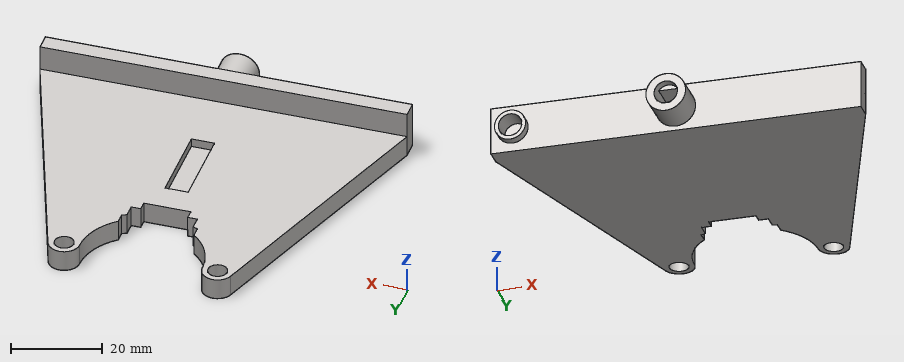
import cadquery as cq
import math


BAR_WIDTH = 84.0
BAR_DEPTH = 3.95
BAR_HEIGHT = 11.0

PLATE_THICKNESS = 5.0
PLATE_REACH = 67.5
EYE_RADIUS = 3.5
EYE_HOLE_DIAMETER = 4.4
EYE_X = 17.55
EYE_Y = PLATE_REACH - EYE_RADIUS

MOUTH_RADIUS = EYE_X - EYE_RADIUS
THROAT_HALF_WIDTH = 8.65
SHOULDER_OUTER_Y = 50.5
SHOULDER_INNER_Y = 50.1
STEP_HALF_WIDTH = 7.6
STEP_Y = 47.0
FLOOR_HALF_WIDTH = 5.4
FLOOR_Y = 44.85

POCKET_WIDTH = 5.3
POCKET_LENGTH = 19.15
POCKET_DEPTH = 2.0
POCKET_CENTER_Y = 28.5

BOSS_Z = BAR_HEIGHT / 2
BORE_DIAMETER = 5.3
CENTER_BOSS_DIAMETER = 9.0
CENTER_BOSS_LENGTH = 8.0
CENTER_BORE_DEPTH = 2.0
KEYWAY_HEIGHT = 3.0
SIDE_BOSS_DIAMETER = 7.05
SIDE_BOSS_LENGTH = 2.0
SIDE_BOSS_INSET = 4.95
SIDE_BOSS_X = -BAR_WIDTH / 2 + SIDE_BOSS_INSET
SIDE_BORE_DEPTH = 5.0


def rod_along_y(diameter, x, start_y, length):
    """Cylinder at boss height that runs from start_y toward +Y."""
    axis_start = cq.Vector(x, start_y, BOSS_Z)
    return cq.Workplane(cq.Solid.makeCylinder(diameter / 2, length, axis_start, cq.Vector(0, 1, 0)))


def make_bar():
    return cq.Workplane("XY").box(BAR_WIDTH, BAR_DEPTH, BAR_HEIGHT, centered=(True, False, False))


def make_plate():
    run = BAR_WIDTH / 2 - EYE_X
    rise = EYE_Y - BAR_DEPTH
    corner_angle = math.atan2(-rise, run)
    normal_angle = corner_angle + math.acos(EYE_RADIUS / math.hypot(run, rise))
    tangent_x = EYE_X + EYE_RADIUS * math.cos(normal_angle)
    tangent_y = EYE_Y + EYE_RADIUS * math.sin(normal_angle)

    throat_top_y = EYE_Y - math.sqrt(MOUTH_RADIUS**2 - THROAT_HALF_WIDTH**2)
    throat_angle = math.atan2(EYE_Y - throat_top_y, THROAT_HALF_WIDTH)
    mouth_mid_x = MOUTH_RADIUS * math.cos(throat_angle / 2)
    mouth_mid_y = EYE_Y - MOUTH_RADIUS * math.sin(throat_angle / 2)

    eye_mid_angle = (normal_angle + math.pi) / 2
    eye_mid_x = EYE_X + EYE_RADIUS * math.cos(eye_mid_angle)
    eye_mid_y = EYE_Y + EYE_RADIUS * math.sin(eye_mid_angle)

    right_half = (
        cq.Workplane("XY")
        .moveTo(0, BAR_DEPTH)
        .lineTo(BAR_WIDTH / 2, BAR_DEPTH)
        .lineTo(tangent_x, tangent_y)
        .threePointArc((eye_mid_x, eye_mid_y), (MOUTH_RADIUS, EYE_Y))
        .threePointArc((mouth_mid_x, mouth_mid_y), (THROAT_HALF_WIDTH, throat_top_y))
        .lineTo(THROAT_HALF_WIDTH, SHOULDER_OUTER_Y)
        .lineTo(STEP_HALF_WIDTH, SHOULDER_INNER_Y)
        .lineTo(STEP_HALF_WIDTH, STEP_Y)
        .lineTo(FLOOR_HALF_WIDTH, STEP_Y)
        .lineTo(FLOOR_HALF_WIDTH, FLOOR_Y)
        .lineTo(0, FLOOR_Y)
        .close()
        .extrude(PLATE_THICKNESS)
    )
    plate = right_half.union(right_half.mirror("YZ"))
    eye_holes = (
        cq.Workplane("XY")
        .pushPoints([(-EYE_X, EYE_Y), (EYE_X, EYE_Y)])
        .circle(EYE_HOLE_DIAMETER / 2)
        .extrude(PLATE_THICKNESS)
    )
    pocket = (
        cq.Workplane("XY", origin=(0, POCKET_CENTER_Y, PLATE_THICKNESS - POCKET_DEPTH))
        .rect(POCKET_WIDTH, POCKET_LENGTH)
        .extrude(POCKET_DEPTH)
    )
    return plate.cut(eye_holes).cut(pocket)


def add_center_boss(body):
    """Boss with a short round bore, narrowed by two flats down to the bar face."""
    boss = rod_along_y(CENTER_BOSS_DIAMETER, 0, -CENTER_BOSS_LENGTH, CENTER_BOSS_LENGTH)
    bore = rod_along_y(BORE_DIAMETER, 0, -CENTER_BOSS_LENGTH, CENTER_BORE_DEPTH)
    flats = cq.Workplane("XY", origin=(0, 0, BOSS_Z)).box(
        BORE_DIAMETER, 2 * CENTER_BOSS_LENGTH, KEYWAY_HEIGHT
    )
    keyway = rod_along_y(BORE_DIAMETER, 0, -CENTER_BOSS_LENGTH, CENTER_BOSS_LENGTH).intersect(flats)
    return body.union(boss).cut(bore).cut(keyway)


def add_side_boss(body):
    """Short boss with a blind bore that ends inside the bar."""
    boss = rod_along_y(SIDE_BOSS_DIAMETER, SIDE_BOSS_X, -SIDE_BOSS_LENGTH, SIDE_BOSS_LENGTH)
    bore = rod_along_y(BORE_DIAMETER, SIDE_BOSS_X, -SIDE_BOSS_LENGTH, SIDE_BORE_DEPTH)
    return body.union(boss).cut(bore)


result = make_bar().union(make_plate())
result = add_center_boss(result)
result = add_side_boss(result)